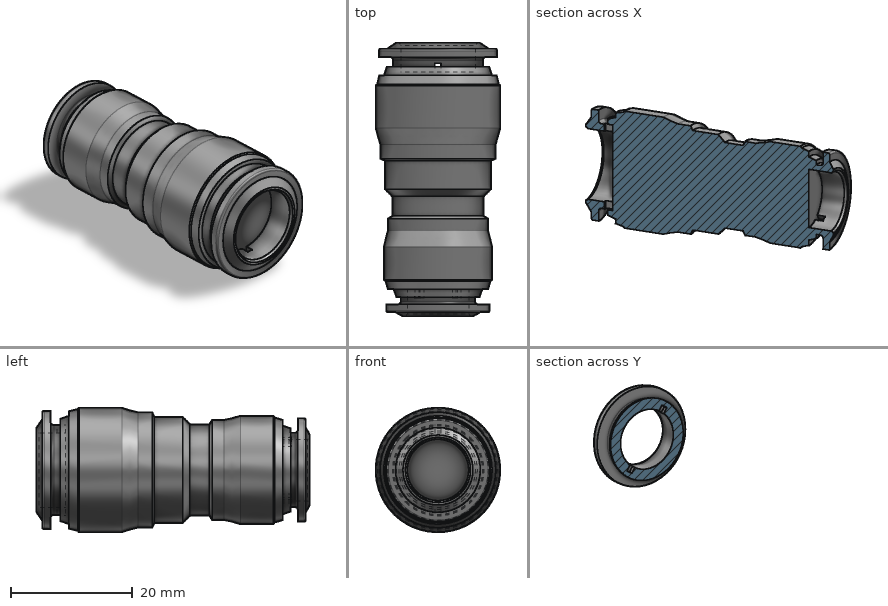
import cadquery as cq
import math

LENGTH = 45.0
HALF_LENGTH = LENGTH / 2
SLOT_WIDTH = 1.0
NECK_FILLET = 0.5
FLANGE_EDGE_FILLET = 0.3
RIM_WIDTH = 0.4
MOUTH_WIDENING = 0.3
MOUTH_DEPTH = 0.45

LARGE_COLLET = dict(
    rim_radius=6.85, cone_radius=8.32, flange_radius=9.7, neck_radius=7.42,
    cone_length=1.0, flange_back=2.4, neck_end=3.95,
    slot_start=3.4, bore_depth=4.8, slot_angle=0.0,
)
SMALL_COLLET = dict(
    rim_radius=5.75, cone_radius=6.98, flange_radius=8.5, neck_radius=6.1,
    cone_length=0.68, flange_back=2.0, neck_end=3.15,
    slot_start=3.05, bore_depth=4.45, slot_angle=33.5,
)

LARGE_BARREL_RADIUS = 10.25
LARGE_TAIL_RADIUS = 9.5
SHANK_RADIUS = 8.75
WAIST_RADIUS = 7.5
SMALL_TAIL_RADIUS = 8.25
SMALL_BARREL_RADIUS = 8.9

LARGE_COLLAR_STEP_Y = 17.1
SMALL_COLLAR_STEP_Y = -18.05

BODY_OUTLINE = [
    (8.4, HALF_LENGTH - LARGE_COLLET["neck_end"]),
    (8.9, LARGE_COLLAR_STEP_Y),
    (9.68, LARGE_COLLAR_STEP_Y),
    (10.05, 15.65),
    (LARGE_BARREL_RADIUS, 15.45),
    (LARGE_BARREL_RADIUS, 8.45),
    (LARGE_TAIL_RADIUS, 5.75),
    (LARGE_TAIL_RADIUS, 3.4),
    (SHANK_RADIUS, 3.05),
    (SHANK_RADIUS, -1.58),
    (WAIST_RADIUS, -2.8),
    (WAIST_RADIUS, -6.0),
    (SMALL_TAIL_RADIUS, -6.45),
    (SMALL_TAIL_RADIUS, -8.32),
    (SMALL_BARREL_RADIUS, -11.02),
    (SMALL_BARREL_RADIUS, -16.45),
    (8.65, -16.75),
    (8.25, SMALL_COLLAR_STEP_Y),
    (7.3, SMALL_COLLAR_STEP_Y),
    (6.85, SMALL_COLLET["neck_end"] - HALF_LENGTH),
]


def revolve_about_y(outline):
    """Solid of revolution whose outline, given as (radius, Y), is closed along the axis."""
    points = [(0, outline[0][1])] + outline + [(0, outline[-1][1])]
    return cq.Workplane("XY").polyline(points).close().revolve(360, (0, 0, 0), (0, 1, 0))


def collet(spec):
    """Flanged collet on +Y, from its end face down to where its neck enters the body."""
    cone_y = HALF_LENGTH - spec["cone_length"]
    flange_back_y = HALF_LENGTH - spec["flange_back"]
    neck_end_y = HALF_LENGTH - spec["neck_end"]
    flange = spec["flange_radius"]
    neck = spec["neck_radius"]
    edge = FLANGE_EDGE_FILLET
    bend = 1 - math.sqrt(0.5)
    return (
        cq.Workplane("XY")
        .moveTo(0, HALF_LENGTH)
        .lineTo(spec["rim_radius"], HALF_LENGTH)
        .lineTo(spec["cone_radius"], cone_y)
        .lineTo(flange - edge, cone_y)
        .threePointArc((flange - edge * bend, cone_y - edge * bend), (flange, cone_y - edge))
        .lineTo(flange, flange_back_y)
        .lineTo(neck + NECK_FILLET, flange_back_y)
        .threePointArc(
            (neck + NECK_FILLET * bend, flange_back_y - NECK_FILLET * bend),
            (neck, flange_back_y - NECK_FILLET),
        )
        .lineTo(neck, neck_end_y)
        .lineTo(0, neck_end_y)
        .close()
        .revolve(360, (0, 0, 0), (0, 1, 0))
    )


def collet_cavity(spec):
    """Blind bore with a chamfered mouth inside the flat rim, plus a slot across its inner end."""
    mouth_radius = spec["rim_radius"] - RIM_WIDTH
    bore_radius = mouth_radius - MOUTH_WIDENING
    floor_y = HALF_LENGTH - spec["bore_depth"]
    bore = revolve_about_y([
        (mouth_radius, HALF_LENGTH),
        (bore_radius, HALF_LENGTH - MOUTH_DEPTH),
        (bore_radius, floor_y),
    ])
    slot_start_y = HALF_LENGTH - spec["slot_start"]
    slot_length = slot_start_y - floor_y
    slot_reach = revolve_about_y([(spec["neck_radius"], slot_start_y), (spec["neck_radius"], floor_y)])
    slot = (
        cq.Workplane("XY")
        .box(SLOT_WIDTH, slot_length, 2 * spec["neck_radius"])
        .translate((0, floor_y + slot_length / 2, 0))
        .intersect(slot_reach)
        .rotate((0, 0, 0), (0, 1, 0), spec["slot_angle"])
    )
    return bore.union(slot)


def to_small_end(shape):
    """Turn a +Y end feature about Z so that it sits at the -Y end."""
    return shape.rotate((0, 0, 0), (0, 0, 1), 180)


body = revolve_about_y(BODY_OUTLINE)
solid_fitting = body.union(collet(LARGE_COLLET)).union(to_small_end(collet(SMALL_COLLET)))
result = solid_fitting.cut(collet_cavity(LARGE_COLLET)).cut(to_small_end(collet_cavity(SMALL_COLLET)))